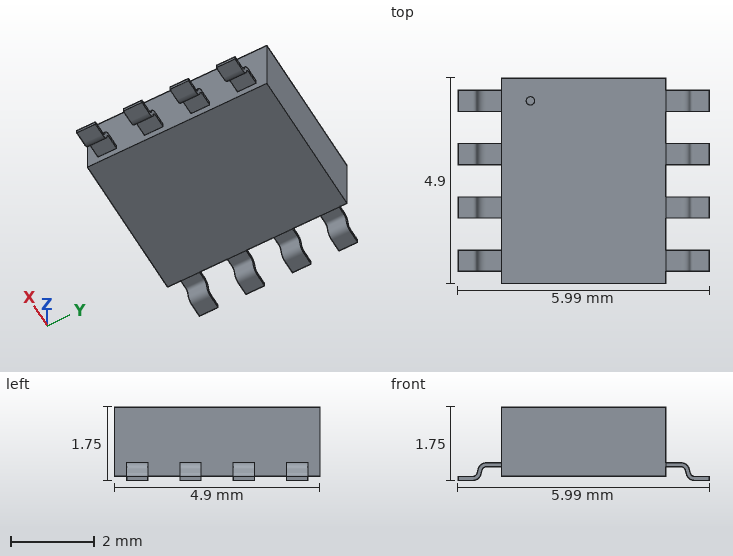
import cadquery as cq
import math

span_x = 5.99
overall_height = 1.75
standoff = 0.1

body_length_x = 3.92
body_width_y = 4.9
body_height = overall_height - standoff

leads_per_side = 4
lead_pitch = 1.27
lead_width = 0.51
lead_thickness = 0.1
lead_top = 0.425
bend_inner_radius = 0.1
bend_outer_radius = bend_inner_radius + lead_thickness
bend_angle = math.radians(75)
foot_length = 0.355
outer_row_y = (leads_per_side - 1) * lead_pitch / 2

marker_diameter = 0.2
marker_depth = 0.1
marker_x = -1.27
marker_y = outer_row_y

lead_drop = lead_top - lead_thickness
bend_radii = bend_inner_radius + bend_outer_radius
slant_length = (lead_drop - bend_radii * (1 - math.cos(bend_angle))) / math.sin(bend_angle)
bend_run = bend_radii * math.sin(bend_angle) + slant_length * math.cos(bend_angle)


def make_marker():
    """Round disc whose top is level with the top of the body."""
    return (
        cq.Workplane("XY", origin=(marker_x, marker_y, overall_height - marker_depth))
        .circle(marker_diameter / 2)
        .extrude(marker_depth)
    )


def make_body():
    """Plain block with a blind round recess that holds the marker."""
    block = cq.Workplane("XY", origin=(0, 0, standoff)).box(
        body_length_x, body_width_y, body_height, centered=(True, True, False)
    )
    return block.cut(make_marker())


def bend_point(center, radius, angle):
    """Point on a bend, at an angle measured from straight up towards +X."""
    return (
        center[0] + radius * math.sin(angle),
        center[1] + radius * math.cos(angle),
    )


def make_lead(y):
    """Lead on the +X side, centred at y: shoulder, two equal opposite bends and a foot."""
    root_x = body_length_x / 2
    tip_x = span_x / 2
    foot_start_x = tip_x - foot_length
    shoulder_end_x = foot_start_x - bend_run

    upper = (shoulder_end_x, lead_top - bend_outer_radius)
    lower = (foot_start_x, bend_outer_radius)
    half_bend = bend_angle / 2
    lower_end = math.pi + bend_angle
    lower_middle = math.pi + half_bend

    profile = (
        cq.Workplane("XZ", origin=(0, y + lead_width / 2, 0))
        .moveTo(root_x, lead_top)
        .lineTo(shoulder_end_x, lead_top)
        .threePointArc(
            bend_point(upper, bend_outer_radius, half_bend),
            bend_point(upper, bend_outer_radius, bend_angle),
        )
        .lineTo(*bend_point(lower, bend_inner_radius, lower_end))
        .threePointArc(
            bend_point(lower, bend_inner_radius, lower_middle),
            (foot_start_x, lead_thickness),
        )
        .lineTo(tip_x, lead_thickness)
        .lineTo(tip_x, 0)
        .lineTo(foot_start_x, 0)
        .threePointArc(
            bend_point(lower, bend_outer_radius, lower_middle),
            bend_point(lower, bend_outer_radius, lower_end),
        )
        .lineTo(*bend_point(upper, bend_inner_radius, bend_angle))
        .threePointArc(
            bend_point(upper, bend_inner_radius, half_bend),
            (shoulder_end_x, lead_top - lead_thickness),
        )
        .lineTo(root_x, lead_top - lead_thickness)
        .close()
    )
    return profile.extrude(lead_width)


body = make_body()
marker = make_marker()

leads = []
for row in range(leads_per_side):
    right_lead = make_lead(row * lead_pitch - outer_row_y)
    left_lead = right_lead.mirror("YZ")
    leads.append(right_lead.val())
    leads.append(left_lead.val())

result = cq.Compound.makeCompound([body.val(), marker.val(), *leads])